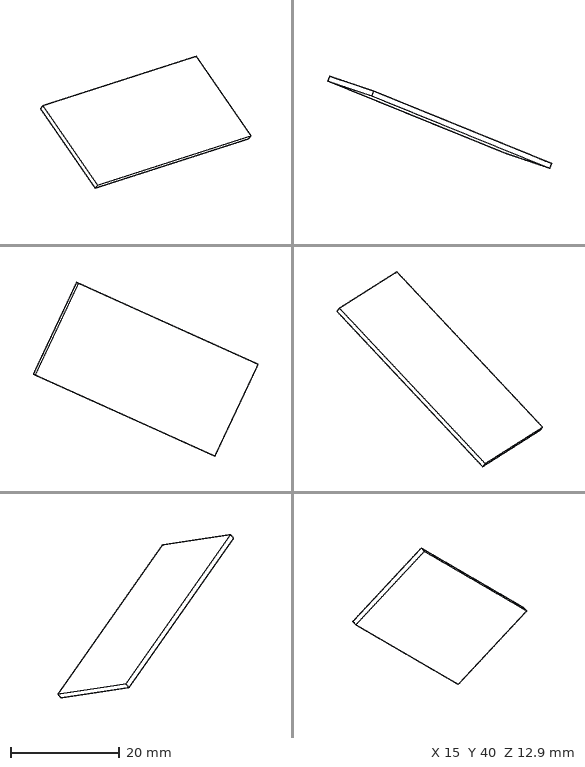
import cadquery as cq

plate_length = 40.0
plate_width = 18.8
plate_thickness = 1.0
tilt_angle = 40.0

plate = cq.Workplane("XY").box(plate_width, plate_length, plate_thickness)
result = plate.rotate((0, 0, 0), (0, 1, 0), tilt_angle)